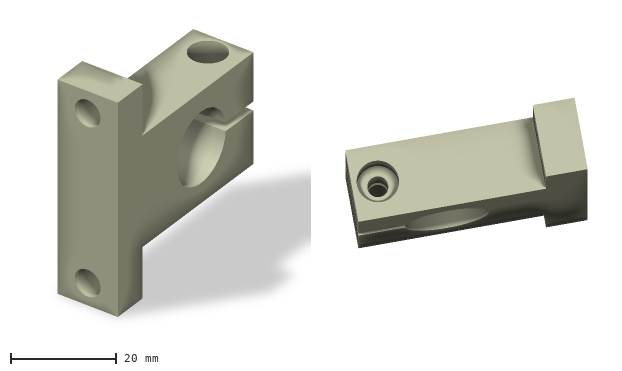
import cadquery as cq

width = 14.0
depth = 44.0
height = 48.0
flange_thickness = 8.0
body_height = 25.0

bore_diameter = 16.0
bore_y = 27.0
slot_height = 2.0
slot_center_z = 0.5

mount_hole_diameter = 6.0
mount_hole_spacing = 38.0

screw_diameter = 4.0
screw_head_diameter = 8.0
screw_head_depth = 5.0
screw_end_distance = 5.0


def make_blank():
    """T-shaped blank: upright flange with a centred clamp body behind it."""
    flange = cq.Workplane("XY").box(width, flange_thickness, height, centered=(True, False, True))
    body = cq.Workplane("XY").box(width, depth, body_height, centered=(True, False, True))
    return flange.union(body)


def make_bore():
    """Shaft bore running through the body along X."""
    return cq.Workplane("YZ").center(bore_y, 0).circle(bore_diameter / 2).extrude(width / 2, both=True)


def make_slot():
    """Clamping slot from the bore out to the clamp end."""
    slot_length = depth - bore_y
    return (
        cq.Workplane("XY")
        .box(width, slot_length, slot_height, centered=(True, False, True))
        .translate((0, bore_y, slot_center_z))
    )


def make_mount_holes():
    """Pair of plain holes through the flange along Y."""
    return (
        cq.Workplane("XZ")
        .rarray(0.5, mount_hole_spacing, 1, 2)
        .circle(mount_hole_diameter / 2)
        .extrude(-flange_thickness)
    )


def make_screw_hole():
    """Counterbored clamp screw hole, entering from the top of the body."""
    top = cq.Workplane("XY", origin=(0, depth - screw_end_distance, body_height / 2))
    shank = top.circle(screw_diameter / 2).extrude(-body_height)
    head = top.circle(screw_head_diameter / 2).extrude(-screw_head_depth)
    return shank.union(head)


result = (
    make_blank()
    .cut(make_bore())
    .cut(make_slot())
    .cut(make_mount_holes())
    .cut(make_screw_hole())
)